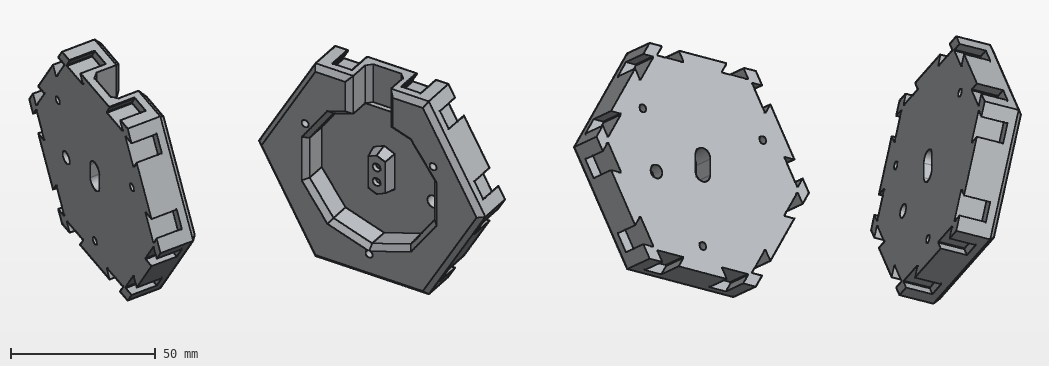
import cadquery as cq
import math

hex_radius = 46.0
thickness = 15.0
edge_chamfer = 2.0
apothem = hex_radius * math.cos(math.radians(30))

cavity_sides = 10
cavity_radius = 26.7
cavity_half_angle = math.radians(180 / cavity_sides)
floor_thickness = 5.1

notch_width = 15.4
notch_floor = floor_thickness - edge_chamfer
notch_inner_z = cavity_radius - notch_width / 2 * math.tan(cavity_half_angle)

dovetail_offset = 14.0
dovetail_height = 10.0
dovetail_depth = 3.9
dovetail_back_width = 11.6
dovetail_corner_cut = 0.4
dovetail_angle = math.radians(30)

mouth_flare = 0.3

boss_top = dovetail_height
boss_base_width = 8.65
boss_top_width = 6.9
boss_end_angle = math.radians(24)
pair_offset = 2.99
pair_hole_diameter = 3.1
slot_width = 6.4
slot_depth = 8.0

screw_circle_radius = 30.0
screw_hole_diameter = 2.85
screw_angles = (30, 150, 270)
side_hole_x = -20.1
side_hole_z = -7.0
side_hole_diameter = 5.0


def plane_at(y):
    """Work plane facing +Y at depth y; its local axes are -X and +Z."""
    return cq.Workplane(cq.Plane(origin=(0, y, 0), xDir=(-1, 0, 0), normal=(0, 1, 0)))


def round_hole(x, z, diameter):
    return plane_at(0).center(-x, z).circle(diameter / 2).extrude(thickness)


def make_plate():
    plate = plane_at(0).polygon(6, 2 * hex_radius).extrude(thickness)
    return plate.faces(">Y").chamfer(edge_chamfer)


def make_cavity():
    """Straight pocket whose rim flares out like the chamfer of the plate."""
    diameter = 2 * cavity_radius
    rim_diameter = diameter + 2 * edge_chamfer / math.cos(cavity_half_angle)
    pocket = plane_at(floor_thickness).polygon(cavity_sides, diameter).extrude(thickness - floor_thickness)
    flare = (
        plane_at(thickness - edge_chamfer).polygon(cavity_sides, diameter)
        .workplane(offset=edge_chamfer).polygon(cavity_sides, rim_diameter)
        .loft(ruled=True)
    )
    cavity = pocket.union(flare)
    return cavity.rotate((0, 0, 0), (0, 1, 0), 90)


def make_notch():
    half = notch_width / 2
    right_side = [
        (half - edge_chamfer, notch_floor),
        (half, floor_thickness),
        (half, thickness - edge_chamfer),
        (half + edge_chamfer, thickness),
    ]
    left_side = [(-x, y) for x, y in reversed(right_side)]
    return (
        cq.Workplane("XY").workplane(offset=notch_inner_z)
        .polyline(right_side + left_side).close()
        .extrude(apothem - notch_inner_z)
    )


def dovetail_half_width(depth):
    """Half width of a dovetail at a depth below its edge, ignoring the corner cuts."""
    return dovetail_back_width / 2 - (dovetail_depth - depth) * math.tan(dovetail_angle)


def edge_pocket(offset, right_side):
    """Symmetric pocket in the top edge, from its right-hand outline points."""
    left_side = [(-x, z) for x, z in reversed(right_side)]
    return plane_at(0).center(offset, 0).polyline(right_side + left_side).close().extrude(dovetail_height)


def make_dovetail(offset):
    """Undercut pocket with blunted back corners."""
    back = dovetail_half_width(dovetail_depth)
    back_z = apothem - dovetail_depth
    cut_x = dovetail_corner_cut * math.sin(dovetail_angle)
    cut_z = dovetail_corner_cut * math.cos(dovetail_angle)
    return edge_pocket(offset, [
        (back - dovetail_corner_cut, back_z),
        (back - cut_x, back_z + cut_z),
        (dovetail_half_width(0), apothem),
    ])


def make_mouth_flare(offset):
    """45 degree lead-in at the mouth of a dovetail."""
    neck = dovetail_half_width(mouth_flare)
    return edge_pocket(offset, [
        (neck, apothem - mouth_flare),
        (neck + mouth_flare, apothem),
    ])


def boss_outline(width):
    """Long hexagon around the hole pair, pointed at both ends."""
    half = width / 2
    shoulder = pair_offset + half
    tip = shoulder + half * math.tan(boss_end_angle)
    return [
        (0, tip), (half, shoulder), (half, -shoulder),
        (0, -tip), (-half, -shoulder), (-half, shoulder),
    ]


def make_boss():
    height = boss_top - floor_thickness
    return (
        plane_at(floor_thickness).polyline(boss_outline(boss_base_width)).close()
        .workplane(offset=height).polyline(boss_outline(boss_top_width)).close()
        .loft(ruled=True)
    )


def make_slot():
    length = 2 * pair_offset + slot_width
    return plane_at(0).slot2D(length, slot_width, 90).extrude(slot_depth)


result = make_plate().cut(make_cavity()).cut(make_notch())
result = result.union(make_boss()).cut(make_slot())

for side in (-1, 1):
    dovetail = make_dovetail(side * dovetail_offset)
    for edge in range(6):
        result = result.cut(dovetail.rotate((0, 0, 0), (0, 1, 0), 60 * edge))
    result = result.cut(make_mouth_flare(side * dovetail_offset))
    result = result.cut(round_hole(0, side * pair_offset, pair_hole_diameter))

for screw_angle in screw_angles:
    screw_x = screw_circle_radius * math.cos(math.radians(screw_angle))
    screw_z = screw_circle_radius * math.sin(math.radians(screw_angle))
    result = result.cut(round_hole(screw_x, screw_z, screw_hole_diameter))

result = result.cut(round_hole(side_hole_x, side_hole_z, side_hole_diameter))